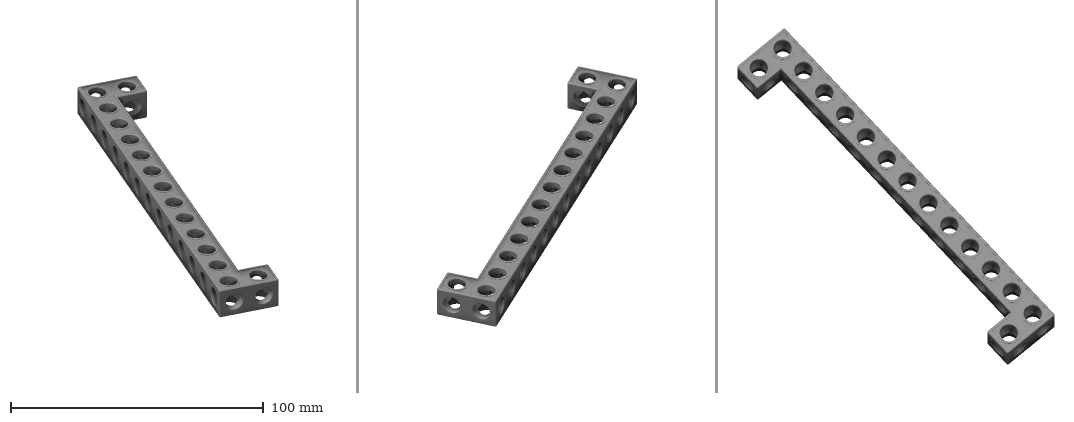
import cadquery as cq

PITCH = 12.5
BEAM_HOLES = 13
ARM_HOLES = 2
LENGTH = BEAM_HOLES * PITCH
DEPTH = ARM_HOLES * PITCH
HEIGHT = PITCH

HOLE_DIAMETER = 7.0
RING_DIAMETER = 9.2

EDGE_CHAMFER = 0.3
HOLE_CHAMFER = 0.3
RIM_WIDTH = 1.1
RECESS_DEPTH = 0.2
RIB_WIDTH = 0.25

FIRST_COLUMN = -LENGTH / 2 + PITCH / 2
COLUMNS = [FIRST_COLUMN + i * PITCH for i in range(BEAM_HOLES)]
ROWS = [PITCH / 2 + i * PITCH for i in range(ARM_HOLES)]
END_COLUMNS = [COLUMNS[0], COLUMNS[-1]]
VERTICAL_HOLES = [(x, ROWS[0]) for x in COLUMNS] + [(x, y) for x in END_COLUMNS for y in ROWS[1:]]


def outline(inset=0.0):
    """U-shaped outline of the beam and its two end arms, moved inward by inset."""
    x_end = LENGTH / 2 - inset
    x_arm = LENGTH / 2 - PITCH + inset
    y_front = inset
    y_beam = PITCH - inset
    y_arm = DEPTH - inset
    return cq.Workplane("XY").polyline([
        (-x_end, y_front),
        (x_end, y_front),
        (x_end, y_arm),
        (x_arm, y_arm),
        (x_arm, y_beam),
        (-x_arm, y_beam),
        (-x_arm, y_arm),
        (-x_end, y_arm),
    ]).close()


def body():
    """Solid U-shaped bar with every edge chamfered except the two concave corners."""
    return (
        outline()
        .extrude(HEIGHT)
        .edges("(|Z and (<X or >X or >Y)) or >Z or <Z")
        .chamfer(EDGE_CHAMFER)
    )


def top_recess():
    """Shallow recess inside the rim; a ring stands around each vertical hole and a rib joins the last two."""
    pocket = outline(RIM_WIDTH).extrude(RECESS_DEPTH)
    rings = cq.Workplane("XY").pushPoints(VERTICAL_HOLES).circle(RING_DIAMETER / 2).extrude(RECESS_DEPTH)
    rib_middle = (COLUMNS[-2] + COLUMNS[-1]) / 2
    rib = cq.Workplane("XY").center(rib_middle, ROWS[0]).rect(PITCH, RIB_WIDTH).extrude(RECESS_DEPTH)
    return pocket.cut(rings).cut(rib).translate((0, 0, HEIGHT - RECESS_DEPTH))


def hole_cutter(length):
    """Cylinder along Z from the origin, flared at both ends to break the hole edges."""
    radius = HOLE_DIAMETER / 2
    mouth_radius = radius + HOLE_CHAMFER
    return (
        cq.Workplane("XZ")
        .moveTo(0, 0)
        .lineTo(mouth_radius, 0)
        .lineTo(radius, HOLE_CHAMFER)
        .lineTo(radius, length - HOLE_CHAMFER)
        .lineTo(mouth_radius, length)
        .lineTo(0, length)
        .close()
        .revolve(360, (0, 0), (0, 1))
    )


def drill_vertical_holes(part):
    cutter = hole_cutter(HEIGHT)
    for x, y in VERTICAL_HOLES:
        part = part.cut(cutter.translate((x, y, 0)))
    return part


def drill_holes_along_y(part):
    """Drill through the beam, and through the full arm depth at the two end columns."""
    for x in COLUMNS:
        length = DEPTH if x in END_COLUMNS else PITCH
        cutter = hole_cutter(length).rotate((0, 0, 0), (1, 0, 0), -90)
        part = part.cut(cutter.translate((x, 0, HEIGHT / 2)))
    return part


def drill_holes_along_x(part):
    """Drill the full length of the beam, and across each arm."""
    beam_cutter = hole_cutter(LENGTH).rotate((0, 0, 0), (0, 1, 0), 90)
    part = part.cut(beam_cutter.translate((-LENGTH / 2, ROWS[0], HEIGHT / 2)))
    arm_cutter = hole_cutter(PITCH).rotate((0, 0, 0), (0, 1, 0), 90)
    for x in END_COLUMNS:
        for y in ROWS[1:]:
            part = part.cut(arm_cutter.translate((x - PITCH / 2, y, HEIGHT / 2)))
    return part


result = body().cut(top_recess())
result = drill_vertical_holes(result)
result = drill_holes_along_y(result)
result = drill_holes_along_x(result)